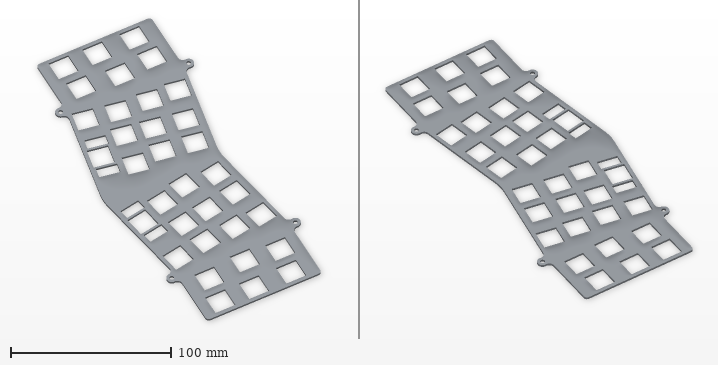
import cadquery as cq
import math


plate_length = 228.5
overall_depth = 101.3
plate_thickness = 1.5
pitch = plate_length / 12
stagger = pitch / 8
plate_depth = 4.25 * pitch

half_length = plate_length / 2
wing_angle = 10.0
end_top = 43.2
end_bottom = end_top - plate_depth
wing_top = 30.6
wing_bottom = wing_top - plate_depth
corner_radius = 2.3
middle_bend_radius = 29.7

tab_radius = 3.5
tab_hole_diameter = 3.0
tab_blend_radius = 3.5
tab_overlap = 2.3
top_tab = cq.Vector(71.3, overall_depth / 2 - tab_radius)
bottom_tab = cq.Vector(74.3, -41.5)

switch_size = 14.0
stabilizer_width = 6.9
stabilizer_spacing = 12.0
stabilizer_offset = 0.98
cut_depth = 2 * plate_thickness

end_column = half_length - pitch / 2
end_high_row = end_top - 0.75 * pitch
end_low_row = end_bottom + 0.75 * pitch
end_switches = [
    (end_column, end_high_row - stagger),
    (end_column, end_low_row + 10 * stagger),
    (end_column, end_low_row),
    (end_column - pitch, end_high_row),
    (end_column - 9 * stagger, end_high_row - 10 * stagger),
    (end_column - pitch, end_low_row + stagger),
]

wing_column = 36.5
wing_back_row = wing_top - pitch / 2
wing_front_row = wing_bottom + pitch / 2
row_1 = wing_back_row - stagger
row_2 = row_1 - 9 * stagger
row_3 = row_2 - pitch
wing_switches = [
    (wing_column, row_1),
    (wing_column, row_2),
    (wing_column, row_3),
    (wing_column - pitch, row_1),
    (wing_column + 10 * stagger, wing_back_row),
    (wing_column + 9 * stagger, wing_back_row - pitch),
    (wing_column + pitch, wing_front_row + 9 * stagger),
    (wing_column + pitch, wing_front_row),
]

left_switches = [
    (wing_column - pitch, row_2),
    (wing_column - 10 * stagger, row_3),
]
right_switches = [
    (wing_column - 10 * stagger, row_2),
    (wing_column - 9 * stagger, row_3),
]
left_wide_key = wing_column - 5 * stagger
right_wide_key = wing_column - 7 * stagger

tilt = math.radians(wing_angle)


def wing_edge_y(edge, x):
    """Y at x of the right wing edge lying at the given distance across the wing."""
    return edge / math.cos(tilt) + x * math.tan(tilt)


def wing_end_x(edge, end_y):
    """X where a wing edge meets the straight edge of the flat end."""
    return (end_y - wing_edge_y(edge, 0)) / math.tan(tilt)


def prism(sketch):
    return sketch.extrude(plate_thickness / 2, both=True)


def both_sides(solid):
    return solid.union(solid.mirror("YZ"))


def make_plate():
    top_bend = wing_end_x(wing_top, end_top)
    bottom_bend = wing_end_x(wing_bottom, end_bottom)
    outline = [
        (0, wing_edge_y(wing_top, 0)),
        (top_bend, end_top),
        (half_length, end_top),
        (half_length, end_bottom),
        (bottom_bend, end_bottom),
        (0, wing_edge_y(wing_bottom, 0)),
        (-bottom_bend, end_bottom),
        (-half_length, end_bottom),
        (-half_length, end_top),
        (-top_bend, end_top),
    ]
    plate = prism(cq.Workplane("XY").polyline(outline).close())
    plate = plate.edges("|Z and (<X or >X)").fillet(corner_radius)
    middle_corners = cq.selectors.BoxSelector(
        (-pitch, -half_length, -plate_thickness), (pitch, half_length, plate_thickness)
    )
    return plate.edges("|Z").edges(middle_corners).fillet(middle_bend_radius)


def tab_blend(tab, root, edge_point, along, outward):
    """Web whose concave arc joins the round tab to a straight plate edge.

    The root is a point inside the plate, shared by the two webs of a tab.
    """
    foot = edge_point + along * (tab - edge_point).dot(along)
    height = (tab - foot).dot(outward)
    center_distance = tab_radius + tab_blend_radius
    reach = math.sqrt(center_distance**2 - (height - tab_blend_radius)**2)
    edge_end = foot + along * reach
    arc_center = edge_end + outward * tab_blend_radius
    to_tab = (tab - arc_center).normalized()
    tab_end = arc_center + to_tab * tab_blend_radius
    arc_middle = arc_center + (to_tab - outward).normalized() * tab_blend_radius
    inward = outward * -tab_overlap
    web = (
        cq.Workplane("XY")
        .moveTo(tab.x, tab.y)
        .lineTo(tab_end.x, tab_end.y)
        .threePointArc(arc_middle.toTuple()[:2], edge_end.toTuple()[:2])
        .lineTo(edge_end.x + inward.x, edge_end.y + inward.y)
        .lineTo(root.x, root.y)
        .close()
    )
    return prism(web)


def make_tab(tab, end_y, wing_edge, side):
    """Right-hand tab on the back (side = 1) or front (side = -1) edge."""
    boss = prism(cq.Workplane("XY").center(tab.x, tab.y).circle(tab_radius))
    root = cq.Vector(tab.x, end_y - side * tab_overlap)
    end_web = tab_blend(tab, root, cq.Vector(0, end_y), cq.Vector(1, 0), cq.Vector(0, side))
    toward_middle = cq.Vector(-math.cos(tilt), -math.sin(tilt))
    wing_normal = cq.Vector(-math.sin(tilt), math.cos(tilt)) * side
    wing_point = cq.Vector(0, wing_edge_y(wing_edge, 0))
    wing_web = tab_blend(tab, root, wing_point, toward_middle, wing_normal)
    return boss.union(end_web).union(wing_web)


def openings(positions, width):
    return (
        cq.Workplane("XY")
        .pushPoints(positions)
        .rect(width, switch_size)
        .extrude(cut_depth / 2, both=True)
    )


def wing_openings(extra_switches, wide_key):
    """All openings of the right wing, turned to the wing angle."""
    wide_switch = (wide_key, wing_front_row)
    slots = [
        (wide_key + side * stabilizer_spacing, wing_front_row + stabilizer_offset)
        for side in (-1, 1)
    ]
    cutter = openings(wing_switches + extra_switches + [wide_switch], switch_size)
    cutter = cutter.add(openings(slots, stabilizer_width)).combine()
    return cutter.rotate((0, 0, 0), (0, 0, 1), wing_angle)


def tab_holes():
    centers = [(side * tab.x, tab.y) for tab in (top_tab, bottom_tab) for side in (-1, 1)]
    return (
        cq.Workplane("XY")
        .pushPoints(centers)
        .circle(tab_hole_diameter / 2)
        .extrude(cut_depth / 2, both=True)
    )


result = (
    make_plate()
    .union(both_sides(make_tab(top_tab, end_top, wing_top, 1)))
    .union(both_sides(make_tab(bottom_tab, end_bottom, wing_bottom, -1)))
    .cut(tab_holes())
    .cut(both_sides(openings(end_switches, switch_size)))
    .cut(wing_openings(right_switches, right_wide_key))
    .cut(wing_openings(left_switches, left_wide_key).mirror("YZ"))
)